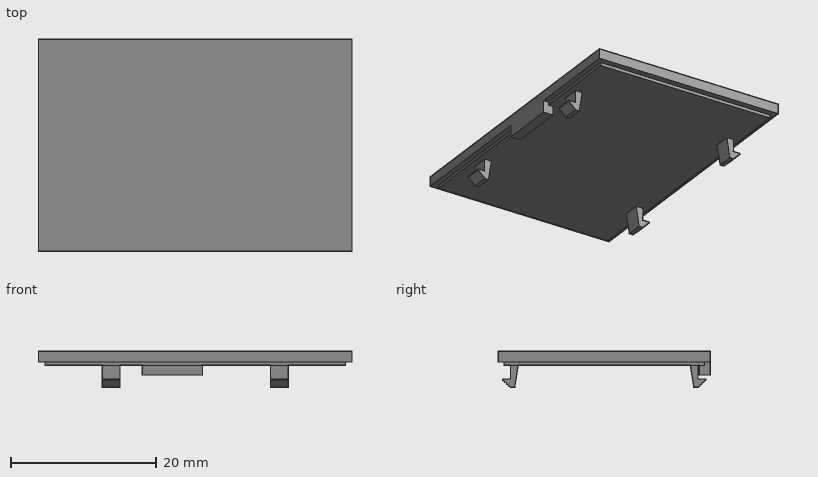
import cadquery as cq

LENGTH = 43.2
WIDTH = 29.2
PLATE_THICKNESS = 1.5
TOTAL_HEIGHT = 5.0

STEP_DEPTH = 0.48
STEP_INSET_X = 0.9
STEP_INSET_Y = 0.78

BLOCK_LENGTH = 8.35
BLOCK_WIDTH = 1.55
BLOCK_DEPTH = 1.8
BLOCK_CENTER_X = -3.15

HOOK_LENGTH = 2.5
HOOK_CENTER_X = 11.58
HOOK_OUTER_INSET = 1.7
HOOK_ROOT_WIDTH = 1.1
HOOK_TIP_WIDTH = 0.6
BARB_REACH = 1.1
BARB_DEPTH = 1.15
BARB_LIP = 0.15
HOOK_BOTTOM = PLATE_THICKNESS - TOTAL_HEIGHT
BARB_TOP = HOOK_BOTTOM + BARB_DEPTH


def make_plate():
    return cq.Workplane("XY").box(LENGTH, WIDTH, PLATE_THICKNESS, centered=(True, True, False))


def make_step():
    step_length = LENGTH - 2 * STEP_INSET_X
    step_width = WIDTH - 2 * STEP_INSET_Y
    return cq.Workplane("XY").rect(step_length, step_width).extrude(-STEP_DEPTH)


def make_block():
    center_y = (WIDTH - BLOCK_WIDTH) / 2
    return (
        cq.Workplane("XY")
        .center(BLOCK_CENTER_X, center_y)
        .rect(BLOCK_LENGTH, BLOCK_WIDTH)
        .extrude(-BLOCK_DEPTH)
    )


def make_hook(center_x, side):
    """Hook with a tapered inner face and its barb pointing out to the given Y side (+1 or -1)."""
    outer_y = WIDTH / 2 - HOOK_OUTER_INSET
    inner_y = outer_y - HOOK_ROOT_WIDTH
    barb_y = outer_y + BARB_REACH
    profile = [
        (inner_y, 0),
        (outer_y, 0),
        (outer_y, BARB_TOP),
        (barb_y, BARB_TOP),
        (barb_y, BARB_TOP - BARB_LIP),
        (outer_y, HOOK_BOTTOM),
        (outer_y - HOOK_TIP_WIDTH, HOOK_BOTTOM),
        (inner_y, -STEP_DEPTH),
    ]
    return (
        cq.Workplane("YZ", origin=(center_x, 0, 0))
        .polyline([(side * y, z) for y, z in profile])
        .close()
        .extrude(HOOK_LENGTH / 2, both=True)
    )


result = make_plate().union(make_step()).union(make_block())
for hook_x in (-HOOK_CENTER_X, HOOK_CENTER_X):
    for hook_side in (-1, 1):
        result = result.union(make_hook(hook_x, hook_side))